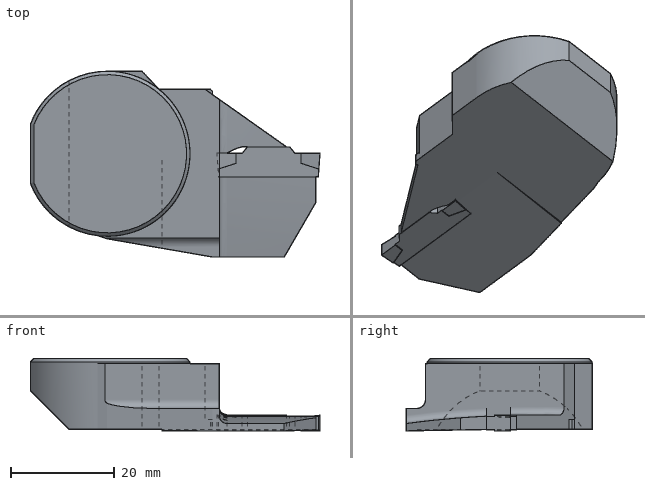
import cadquery as cq
import math

head_radius = 16.0
head_top = 14.1
head_chamfer = 0.7
flat_x = -14.9
base_z = 0.35
back_bevel = 7.45

block_top = head_top - 1.0
block_front_y = -16.3
block_back_y = 12.5
block_end_x = 21.65
spur_x = 6.7
spur_foot_x = 10.0
back_slope_start_x = 18.85

ledge_top = 4.4
ledge_fillet = 1.7
ledge_front_y = -20.0
ledge_corner_x = 20.4
head_exit_x = -1.85
ledge_start = (0, -16.5)

blade_end_x = 40.35
blade_corner_x = 34.2
blade_corner_y = -9.5
blade_tip = (34.65, 1.35)
blade_front_z = 1.45
blade_middle = (-9.3, 2.6)
blade_back = (13.45, 2.9)
blade_fillet = 1.5
select_margin = 0.05

pad_start_x = 10.55
pad_back_y = -0.55

nub_end_x = 20.35
nub_side_y = 11.5
nub_chamfer = 0.45
nub_top = 2.25

insert_middle_x = 31.2
insert_half_length = 10.0
insert_front_half_length = 9.65
insert_front_y = -4.5
insert_back_y = 0.1
insert_base_z = 0.2
insert_top = 2.85
hump_y = blade_tip[1]
hump_half_top = 4.1
hump_half_base = 5.1
tip_top = 3.1
tip_inner_z = 2.65
tip_inner_offset = 6.3
tip_inner_y = -1.85
tip_outer_y = -3.0

relief_start_x = block_end_x + blade_fillet
relief_middle = (24.45, 0.8)
relief_end_x = 26.15


def make_head():
    """Round head with a flat back, a chamfered rim and a bevelled underside."""
    head = cq.Workplane("XY").workplane(offset=base_z).circle(head_radius).extrude(head_top - base_z)
    trim = cq.Workplane("XY").box(2 * head_radius, 4 * head_radius, 4 * head_top)
    head = head.cut(trim.translate((flat_x - head_radius, 0, 0)))
    head = head.faces(">Z").edges().chamfer(head_chamfer)
    bevel = (
        cq.Workplane("XZ")
        .moveTo(flat_x, base_z)
        .lineTo(flat_x + back_bevel, base_z)
        .lineTo(flat_x, base_z + back_bevel)
        .close()
        .extrude(head_radius, both=True)
    )
    return head.cut(bevel)


def back_edge_y(x):
    """Y of the sloping rear edge that runs from the block to the blade tip."""
    slope = (block_back_y - blade_tip[1]) / (blade_tip[0] - back_slope_start_x)
    return block_back_y - slope * (x - back_slope_start_x)


def make_block():
    """Block with its front ledge, before the blade is added."""
    exit_y = -math.sqrt(head_radius**2 - head_exit_x**2)
    block = (
        cq.Workplane("XY")
        .workplane(offset=base_z)
        .moveTo(0, 0)
        .lineTo(head_exit_x, exit_y)
        .lineTo(*ledge_start)
        .lineTo(ledge_corner_x, ledge_front_y)
        .lineTo(block_end_x, ledge_front_y)
        .lineTo(block_end_x, back_edge_y(block_end_x))
        .lineTo(back_slope_start_x, block_back_y)
        .lineTo(spur_foot_x, block_back_y)
        .lineTo(spur_x, head_radius)
        .lineTo(0, head_radius)
        .close()
        .extrude(block_top - base_z)
    )
    center_y = block_front_y - ledge_fillet
    center_z = ledge_top + ledge_fillet
    diagonal = ledge_fillet * math.sqrt(0.5)
    rebate = (
        cq.Workplane("YZ")
        .workplane(offset=head_exit_x)
        .moveTo(block_front_y, head_top)
        .lineTo(block_front_y, center_z)
        .threePointArc((center_y + diagonal, center_z - diagonal), (center_y, ledge_top))
        .lineTo(2 * ledge_front_y, ledge_top)
        .lineTo(2 * ledge_front_y, head_top)
        .close()
        .extrude(block_end_x - head_exit_x)
    )
    return block.cut(rebate)


def make_blade():
    """Arched blade with a fillet at its root, trimmed to its plan outline."""
    section = (
        cq.Workplane("YZ")
        .moveTo(ledge_front_y, 0)
        .lineTo(ledge_front_y, blade_front_z)
        .threePointArc(blade_middle, blade_back)
        .lineTo(blade_back[0], base_z)
        .lineTo(pad_back_y, base_z)
        .close()
        .extrude(blade_end_x)
    )
    wall = cq.Workplane("XY").box(
        block_end_x, blade_back[0] - ledge_front_y, block_top - base_z, centered=False
    )
    stock = section.union(wall.translate((0, ledge_front_y, base_z)))
    root_box = cq.selectors.BoxSelector(
        (block_end_x - select_margin, ledge_front_y, blade_front_z),
        (block_end_x + select_margin, blade_back[0], blade_back[1] + select_margin),
    )
    stock = stock.edges(root_box).fillet(blade_fillet)
    plan = (
        cq.Workplane("XY")
        .moveTo(block_end_x, ledge_front_y)
        .lineTo(blade_corner_x, ledge_front_y)
        .lineTo(blade_end_x, blade_corner_y)
        .lineTo(blade_end_x, insert_front_y)
        .lineTo(*blade_tip)
        .lineTo(block_end_x, back_edge_y(block_end_x))
        .close()
        .extrude(head_top)
    )
    return stock.intersect(plan)


def make_pad():
    """Wedge that carries the blade's sloping underside beneath the ledge and block."""
    wedge = (
        cq.Workplane("YZ")
        .workplane(offset=pad_start_x)
        .moveTo(ledge_front_y, 0)
        .lineTo(pad_back_y, base_z)
        .lineTo(ledge_front_y, base_z)
        .close()
        .extrude(block_end_x - pad_start_x)
    )
    plan = (
        cq.Workplane("XY")
        .moveTo(*ledge_start)
        .lineTo(ledge_corner_x, ledge_front_y)
        .lineTo(block_end_x, ledge_front_y)
        .lineTo(block_end_x, 0)
        .lineTo(0, 0)
        .close()
        .extrude(base_z)
    )
    return wedge.intersect(plan)


def make_nub():
    """Small chamfered nub at the foot of the rear corner."""
    return (
        cq.Workplane("XY")
        .workplane(offset=base_z)
        .moveTo(back_slope_start_x, nub_side_y)
        .lineTo(back_slope_start_x, block_back_y)
        .lineTo(nub_end_x - nub_chamfer, block_back_y)
        .lineTo(nub_end_x, block_back_y - nub_chamfer)
        .lineTo(nub_end_x, nub_side_y)
        .close()
        .extrude(nub_top - base_z)
    )


def make_insert_slot():
    """Open slot between the blade and the rear jaw, ahead of the block."""
    return (
        cq.Workplane("XY")
        .moveTo(block_end_x, insert_front_y)
        .lineTo(blade_end_x, insert_front_y)
        .lineTo(blade_end_x, hump_y)
        .lineTo(relief_end_x, hump_y)
        .threePointArc(relief_middle, (relief_start_x, insert_back_y))
        .lineTo(block_end_x, insert_back_y)
        .close()
        .extrude(head_top)
    )


def make_tip(side):
    """Clearance column and ramped solid of one tip; side is +1 for the outer end and -1 for the inner end."""
    inner_x = insert_middle_x + side * tip_inner_offset
    outer_x = insert_middle_x + side * insert_half_length
    taper = (insert_half_length - insert_front_half_length) / (insert_back_y - insert_front_y)
    low_x = outer_x - side * taper * (insert_back_y - tip_outer_y)
    plan = [(inner_x, insert_back_y), (outer_x, insert_back_y), (low_x, tip_outer_y), (inner_x, tip_inner_y)]
    column = cq.Workplane("XY").polyline(plan).close().extrude(head_top)
    ramp = (
        cq.Workplane("XZ")
        .polyline([(inner_x, 0), (outer_x, 0), (outer_x, tip_top), (inner_x, tip_inner_z)])
        .close()
        .extrude(head_radius, both=True)
    )
    return column, column.intersect(ramp)


def make_insert():
    """Symmetric insert with a rear hump and a ramped tip at each end."""
    offsets = [
        (-insert_front_half_length, insert_front_y),
        (insert_front_half_length, insert_front_y),
        (insert_half_length, insert_back_y),
        (hump_half_base, insert_back_y),
        (hump_half_top, hump_y),
        (-hump_half_top, hump_y),
        (-hump_half_base, insert_back_y),
        (-insert_half_length, insert_back_y),
    ]
    outline = [(insert_middle_x + x, y) for x, y in offsets]
    body = cq.Workplane("XY").workplane(offset=insert_base_z).polyline(outline).close()
    body = body.extrude(insert_top - insert_base_z)
    for side in (-1, 1):
        column, tip = make_tip(side)
        body = body.cut(column).union(tip)
    return body


def make_holder(insert):
    """Head, block and blade in one solid, with the seat for the insert removed."""
    holder = make_head().union(make_block()).union(make_blade()).union(make_pad()).union(make_nub())
    return holder.cut(make_insert_slot()).cut(insert)


cutting_insert = make_insert()
holder = make_holder(cutting_insert)

result = cq.Compound.makeCompound([holder.solids().val(), cutting_insert.solids().val()])